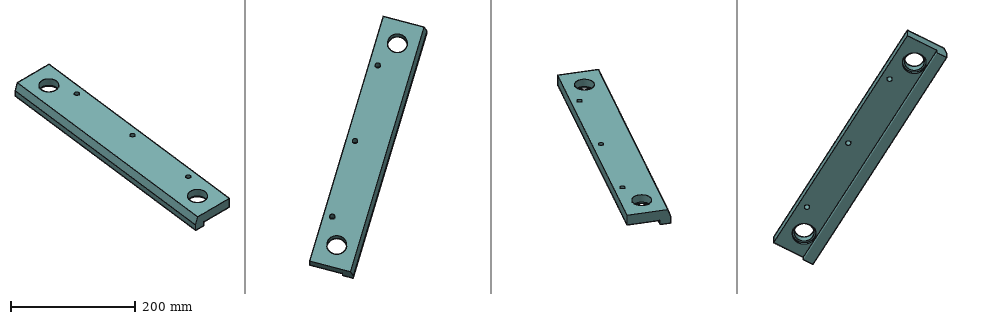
import cadquery as cq

length = 438.0
width = 73.0
height = 26.5

lip_width = 18.5
lip_drop = 8.0
lip_edge_radius = 1.5

slope_run = 5.0
slope_drop = 14.5

mount_diameter = 32.0
mount_end_distance = 38.5
mount_back_distance = 34.5
counterbore_diameter = 38.0
counterbore_depth = 5.0

small_diameter = 8.5
small_spacing = 135.5
small_back_distance = 14.5

front = -width / 2
back = width / 2


def make_bar():
    """Extrude the L-shaped section and round the lower lip edges."""
    profile = [
        (front, 0),
        (front + lip_width, 0),
        (front + lip_width, lip_drop),
        (back, lip_drop),
        (back, height),
        (front + slope_run, height),
        (front, height - slope_drop),
    ]
    bar = (
        cq.Workplane("YZ")
        .polyline(profile)
        .close()
        .extrude(length / 2, both=True)
    )
    return bar.faces("<Z").edges("|X").fillet(lip_edge_radius)


def hole_cutter(diameter, centers, top=height):
    """Cylinders from the base up to the given top, at the given plan positions."""
    return cq.Workplane("XY").pushPoints(centers).circle(diameter / 2).extrude(top)


mount_x = length / 2 - mount_end_distance
mount_y = back - mount_back_distance
mount_centers = [(side * mount_x, mount_y) for side in (-1, 1)]

small_y = back - small_back_distance
small_centers = [(step * small_spacing, small_y) for step in (-1, 0, 1)]

result = (
    make_bar()
    .cut(hole_cutter(mount_diameter, mount_centers))
    .cut(hole_cutter(counterbore_diameter, mount_centers, lip_drop + counterbore_depth))
    .cut(hole_cutter(small_diameter, small_centers))
)